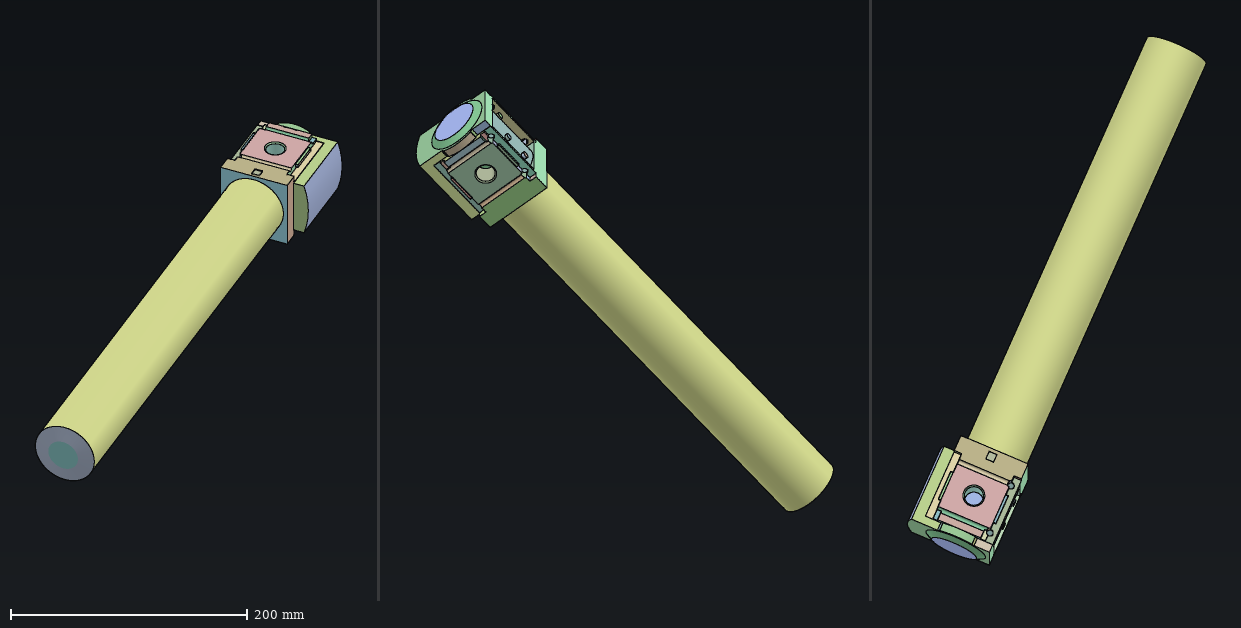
import cadquery as cq

LENGTH = 475.0
OVERALL_WIDTH = 76.0
BODY_WIDTH = 62.0
HALF_BODY = BODY_WIDTH / 2
BODY_START = 11.0
BODY_END = 86.0

TUBE_DIAMETER = 55.0
TUBE_TIP_DIAMETER = 27.5
TUBE_TIP_HEIGHT = 3.0

CORE_DIAMETER = 60.0
CAP_HEIGHT = 4.0
CAP_BASE_DIAMETER = 55.0
CAP_TIP_DIAMETER = 42.0

BRACKET_HALF_HEIGHT = 24.5
BRACKET_REACH = OVERALL_WIDTH - HALF_BODY
BRACKET_CORNER_X = 41.0
BRACKET_END = 73.0

RIB_DIAMETER = 61.8
RIB_WIDTH = 30.0

LEDGE_X = 24.0
LEDGE_Z = 25.0
LEDGE_END = 71.5
LIP_X = 26.5
LIP_BOTTOM = 27.0
LIP_TOP = 30.0
LIP_START = 28.0
LIP_END = 54.0

GROOVE_DEPTHS = (19.5, 64.0)
GROOVE_DIAMETER = 4.5
SMALL_HOLE_DIAMETER = 5.5
SMALL_HOLE_X = -24.5

EAR_X = 20.0
EAR_Z = 27.5

PORT_DEPTH = 42.5
PORT_DIAMETER = 16.0
PORT_RIM_DIAMETER = 18.5
PORT_RIM_HEIGHT = (PORT_RIM_DIAMETER - PORT_DIAMETER) / 2
PORT_FLOOR_Z = 9.5

MARK_DEPTH = 79.5
MARK_SIZE = 7.0
MARK_RECESS = 1.0

WINDOW_START = 13.5
WINDOW_END = 69.0
WINDOW_HALF_HEIGHT = 22.5
PIN_DIAMETER = 5.5
PIN_POSITIONS = ((25.0, 10.5), (36.5, -9.0), (59.0, -10.5))
PIN_END_X = -30.5


def block(x_from, x_to, depth_from, depth_to, z_from, z_to):
    """Box between two X, two depths and two Z values."""
    size = (x_to - x_from, depth_to - depth_from, z_to - z_from)
    return cq.Workplane("XY").box(*size, centered=False).translate((x_from, -depth_to, z_from))


def rod_along_y(diameter, depth_from, depth_to):
    """Cylinder on the main axis."""
    plane = cq.Workplane("XZ", origin=(0, -depth_from, 0))
    return plane.circle(diameter / 2).extrude(depth_to - depth_from)


def round_outline(points):
    """Solid of revolution about the main axis; points are (radius, depth)."""
    outline = [(radius, -depth) for radius, depth in points]
    return cq.Workplane("XY").polyline(outline).close().revolve(360, (0, 0), (0, 1))


def both_faces(solid):
    """The solid together with its mirror image below the XY plane."""
    return solid.union(solid.mirror("XY"))


def both_sides(solid):
    """The solid together with its mirror image across the YZ plane."""
    return solid.union(solid.mirror("YZ"))


def make_tube():
    shoulder = LENGTH - TUBE_TIP_HEIGHT
    return round_outline([
        (0, BODY_START),
        (TUBE_DIAMETER / 2, BODY_START),
        (TUBE_DIAMETER / 2, shoulder),
        (TUBE_TIP_DIAMETER / 2, LENGTH),
        (0, LENGTH),
    ])


def make_core():
    return round_outline([
        (0, 0),
        (CAP_TIP_DIAMETER / 2, 0),
        (CAP_BASE_DIAMETER / 2, CAP_HEIGHT),
        (CORE_DIAMETER / 2, CAP_HEIGHT),
        (CORE_DIAMETER / 2, BODY_END),
        (0, BODY_END),
    ])


def make_bracket():
    plate = block(-HALF_BODY, HALF_BODY, CAP_HEIGHT, BODY_START, -BRACKET_HALF_HEIGHT, BRACKET_HALF_HEIGHT)
    arm = (
        cq.Workplane("XZ", origin=(0, -CAP_HEIGHT, 0))
        .moveTo(HALF_BODY, -BRACKET_HALF_HEIGHT)
        .lineTo(BRACKET_CORNER_X, -BRACKET_HALF_HEIGHT)
        .threePointArc((BRACKET_REACH, 0), (BRACKET_CORNER_X, BRACKET_HALF_HEIGHT))
        .lineTo(HALF_BODY, BRACKET_HALF_HEIGHT)
        .close()
        .extrude(BRACKET_END - CAP_HEIGHT)
    )
    return plate.union(arm)


def make_rib():
    slab = block(-RIB_WIDTH / 2, RIB_WIDTH / 2, CAP_HEIGHT, BODY_START, -HALF_BODY, HALF_BODY)
    return rod_along_y(RIB_DIAMETER, CAP_HEIGHT, BODY_START).intersect(slab)


def make_ledges():
    ledge = block(LEDGE_X, HALF_BODY, BODY_START, LEDGE_END, LEDGE_Z, HALF_BODY)
    lip = block(LEDGE_X, LIP_X, LIP_START, LIP_END, LIP_BOTTOM, LIP_TOP)
    return both_faces(both_sides(ledge.cut(lip)))


def make_grooves():
    grooves = cq.Workplane("YZ", origin=(-HALF_BODY, 0, 0))
    grooves = grooves.pushPoints([(-depth, HALF_BODY) for depth in GROOVE_DEPTHS])
    return both_faces(grooves.circle(GROOVE_DIAMETER / 2).extrude(BODY_WIDTH))


def make_ears():
    ear = block(EAR_X, HALF_BODY, BODY_START, GROOVE_DEPTHS[0], EAR_Z, HALF_BODY)
    return both_faces(both_sides(ear))


def make_small_holes():
    holes = cq.Workplane("XY", origin=(0, 0, -HALF_BODY))
    holes = holes.pushPoints([(SMALL_HOLE_X, -depth) for depth in GROOVE_DEPTHS])
    return holes.circle(SMALL_HOLE_DIAMETER / 2).extrude(BODY_WIDTH)


def make_ports():
    bore = (
        cq.Workplane("XY", origin=(0, -PORT_DEPTH, PORT_FLOOR_Z))
        .circle(PORT_DIAMETER / 2)
        .extrude(HALF_BODY - PORT_FLOOR_Z)
    )
    rim = (
        cq.Workplane("XY", origin=(0, -PORT_DEPTH, HALF_BODY - PORT_RIM_HEIGHT))
        .circle(PORT_DIAMETER / 2)
        .workplane(offset=PORT_RIM_HEIGHT)
        .circle(PORT_RIM_DIAMETER / 2)
        .loft()
    )
    return both_faces(bore.union(rim))


def make_mark():
    half = MARK_SIZE / 2
    return block(-half, half, MARK_DEPTH - half, MARK_DEPTH + half, HALF_BODY - MARK_RECESS, HALF_BODY)


def make_window():
    return block(-HALF_BODY, 0, WINDOW_START, WINDOW_END, -WINDOW_HALF_HEIGHT, WINDOW_HALF_HEIGHT)


def make_pins():
    pins = cq.Workplane("YZ", origin=(PIN_END_X, 0, 0))
    pins = pins.pushPoints([(-depth, z) for depth, z in PIN_POSITIONS])
    return pins.circle(PIN_DIAMETER / 2).extrude(-PIN_END_X)


def make_body():
    body = block(-HALF_BODY, HALF_BODY, BODY_START, BODY_END, -HALF_BODY, HALF_BODY)
    for cut in (make_ledges(), make_ears(), make_small_holes(), make_window()):
        body = body.cut(cut)
    return body


result = make_body()
for part in (make_core(), make_tube(), make_bracket(), make_rib(), make_pins()):
    result = result.union(part)
for cut in (make_grooves(), make_ports(), make_mark()):
    result = result.cut(cut)